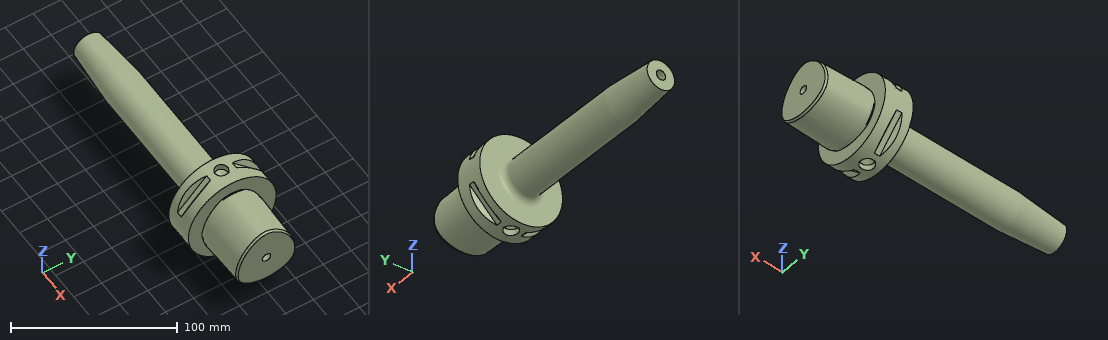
import cadquery as cq
import math

total_length = 198.0
shank_length = 38.0
flange_width = 22.0
flange_back = total_length - shank_length
flange_front = flange_back - flange_width
flange_radius = 63.0 / 2

nose_length = 37.6
nose_radius = 21.0 / 2
neck_radius = 27.0 / 2
neck_fillet = 5.0

clamping_bore_radius = 7.0 / 2
clamping_bore_depth = 36.0
coolant_radius = 6.0 / 2

polygon_radius = 22.0
eccentricity = 1.4
shank_taper = 1 / 40
collar_radius = 21.8
lead_in_end = 2.8
end_chamfer_length = 1.5
end_chamfer_depth = 0.8
lobe_count = 3
points_per_lobe = 17
relief_radius = 22.2
relief_length = 0.8
relief_end = 1.5

rim_feature_x = flange_back - 12.0
groove_count = 4
groove_floor_distance = 27.82
groove_floor_width = 4.2
groove_wall_angle = 30
upper_dimple_radius = 9.0 / 2
lower_dimple_radius = 10.0 / 2
dimple_depth = 4.5
drill_point_angle = 118


def make_neck_and_flange():
    fillet_start = flange_front - neck_fillet
    fillet_top = neck_radius + neck_fillet
    fillet_leg = neck_fillet * math.sin(math.radians(45))
    fillet_middle = (fillet_start + fillet_leg, fillet_top - fillet_leg)
    return (
        cq.Workplane("XY")
        .lineTo(0, nose_radius)
        .lineTo(nose_length, neck_radius)
        .lineTo(fillet_start, neck_radius)
        .threePointArc(fillet_middle, (flange_front, fillet_top))
        .lineTo(flange_front, flange_radius)
        .lineTo(flange_back, flange_radius)
        .lineTo(flange_back, 0)
        .close()
        .revolve(360, (0, 0, 0), (1, 0, 0))
    )


def polygon_point(x, mean_radius, angle):
    """Point of the lobed curve; angle 0 is the flat side at -Z, with a lobe tip at +Z."""
    down = (
        mean_radius * math.cos(angle)
        - 2 * eccentricity * math.cos(2 * angle)
        + eccentricity * math.cos(4 * angle)
    )
    across = (
        mean_radius * math.sin(angle)
        + 2 * eccentricity * math.sin(2 * angle)
        + eccentricity * math.sin(4 * angle)
    )
    return cq.Vector(x, across, -down)


def polygon_wire(x, mean_radius):
    """Closed outline made of one smooth edge per lobe, joined at the flat sides."""
    lobe_angle = 2 * math.pi / lobe_count
    edges = []
    for lobe in range(lobe_count):
        angles = [lobe_angle * (lobe + i / (points_per_lobe - 1)) for i in range(points_per_lobe)]
        points = [polygon_point(x, mean_radius, angle) for angle in angles]
        tangents = [
            cq.Vector(0, math.cos(angle), math.sin(angle))
            for angle in (angles[0], angles[-1])
        ]
        edges.append(cq.Edge.makeSpline(points, tangents=tangents))
    return cq.Wire.assembleEdges(edges)


def make_shank():
    collar_end = flange_back + relief_end
    taper_start = flange_back + lead_in_end
    chamfer_start = total_length - end_chamfer_length
    back_radius = polygon_radius - shank_taper * (chamfer_start - taper_start)
    sections = [
        (flange_back, collar_radius),
        (collar_end, collar_radius),
        (taper_start, polygon_radius),
        (chamfer_start, back_radius),
        (total_length, back_radius - end_chamfer_depth),
    ]
    wires = [polygon_wire(x, radius) for x, radius in sections]
    shank = cq.Workplane(cq.Solid.makeLoft(wires[:2], True))
    for front, back in zip(wires[1:], wires[2:]):
        shank = shank.union(cq.Workplane(cq.Solid.makeLoft([front, back], True)))

    envelope = (
        cq.Workplane("XY")
        .moveTo(flange_back, 0)
        .lineTo(flange_back, relief_radius)
        .lineTo(flange_back + relief_length, relief_radius)
        .lineTo(flange_back + relief_end, polygon_radius + eccentricity)
        .lineTo(flange_back + relief_end, flange_radius)
        .lineTo(total_length, flange_radius)
        .lineTo(total_length, 0)
        .close()
        .revolve(360, (0, 0, 0), (1, 0, 0))
    )
    return shank.intersect(envelope)


def make_bore():
    return (
        cq.Workplane("XY")
        .lineTo(0, clamping_bore_radius)
        .lineTo(clamping_bore_depth, clamping_bore_radius)
        .lineTo(clamping_bore_depth, coolant_radius)
        .lineTo(total_length, coolant_radius)
        .lineTo(total_length, 0)
        .close()
        .revolve(360, (0, 0, 0), (1, 0, 0))
    )


def make_gripper_groove():
    """Straight trapezoidal cutter across the top of the flange."""
    height = flange_radius - groove_floor_distance
    floor_half = groove_floor_width / 2
    rim_half = floor_half + height * math.tan(math.radians(groove_wall_angle))
    return (
        cq.Workplane("XZ")
        .moveTo(rim_feature_x - floor_half, groove_floor_distance)
        .lineTo(rim_feature_x + floor_half, groove_floor_distance)
        .lineTo(rim_feature_x + rim_half, flange_radius)
        .lineTo(rim_feature_x - rim_half, flange_radius)
        .close()
        .extrude(flange_radius, both=True)
    )


def make_dimple(radius):
    """Drilled blind hole with a conical bottom in the top of the rim."""
    shoulder_z = flange_radius - dimple_depth
    point_length = radius / math.tan(math.radians(drill_point_angle / 2))
    return (
        cq.Workplane("XZ")
        .moveTo(rim_feature_x, flange_radius)
        .lineTo(rim_feature_x + radius, flange_radius)
        .lineTo(rim_feature_x + radius, shoulder_z)
        .lineTo(rim_feature_x, shoulder_z - point_length)
        .close()
        .revolve(360, (rim_feature_x, 0, 0), (rim_feature_x, 1, 0))
    )


result = make_neck_and_flange().union(make_shank())

groove = make_gripper_groove()
groove_pitch = 360 / groove_count
for index in range(groove_count):
    angle = groove_pitch * (index + 0.5)
    result = result.cut(groove.rotate((0, 0, 0), (1, 0, 0), angle))

upper_dimple = make_dimple(upper_dimple_radius)
lower_dimple = make_dimple(lower_dimple_radius).rotate((0, 0, 0), (1, 0, 0), 180)
result = result.cut(upper_dimple).cut(lower_dimple).cut(make_bore())